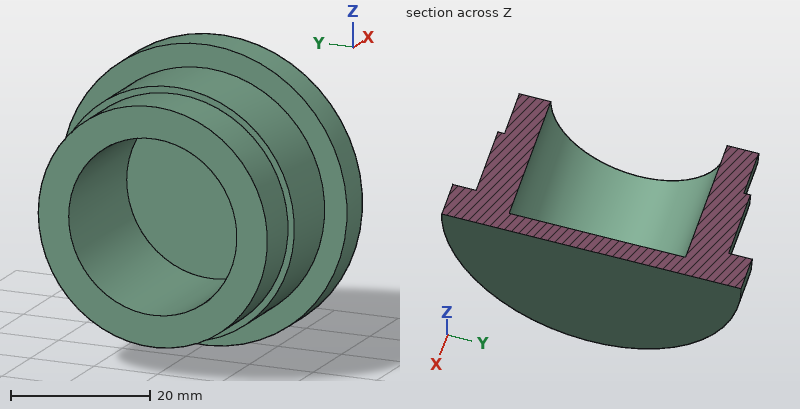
import cadquery as cq

total_length = 23.5
flange_diameter = 45.0

neck_diameter = 36.0
neck_length = 7.3
shoulder_diameter = 38.0
flange_thickness = 5.5
shoulder_length = total_length - neck_length - flange_thickness

bore_diameter = 26.4
floor_thickness = 3.0
bore_depth = total_length - floor_thickness


def cylinder_along_x(start, length, diameter):
    """Solid cylinder on the X axis, running from start toward +X."""
    return cq.Workplane("YZ", origin=(start, 0, 0)).circle(diameter / 2).extrude(length)


neck = cylinder_along_x(0, neck_length, neck_diameter)
shoulder = cylinder_along_x(neck_length, shoulder_length, shoulder_diameter)
flange = cylinder_along_x(neck_length + shoulder_length, flange_thickness, flange_diameter)
bore = cylinder_along_x(0, bore_depth, bore_diameter)

result = neck.union(shoulder).union(flange).cut(bore)